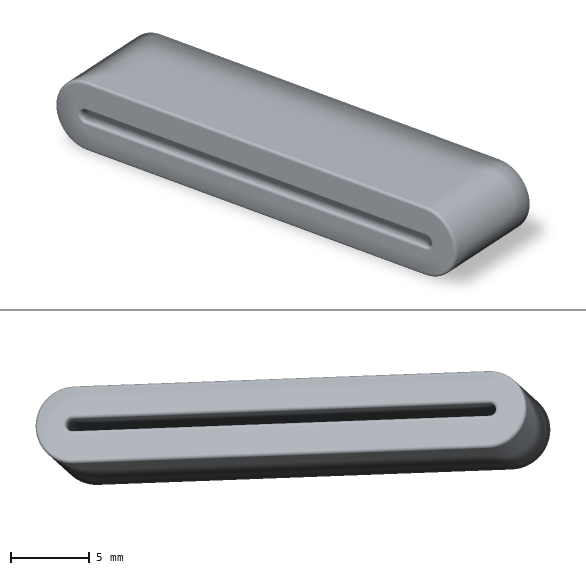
import cadquery as cq

length = 32.0
depth = 8.0
height = 5.0

slot_length = 28.0
slot_height = 0.8

edge_radius = 0.2


def round_ended_bar(bar_length, bar_height):
    """Bar with full-radius ends, running along Y and centred on the origin."""
    return cq.Workplane("XZ").slot2D(bar_length, bar_height).extrude(depth / 2, both=True)


body = round_ended_bar(length, height)
slot = round_ended_bar(slot_length, slot_height)
sleeve = body.cut(slot)

result = sleeve.faces("<Y or >Y").edges().fillet(edge_radius)